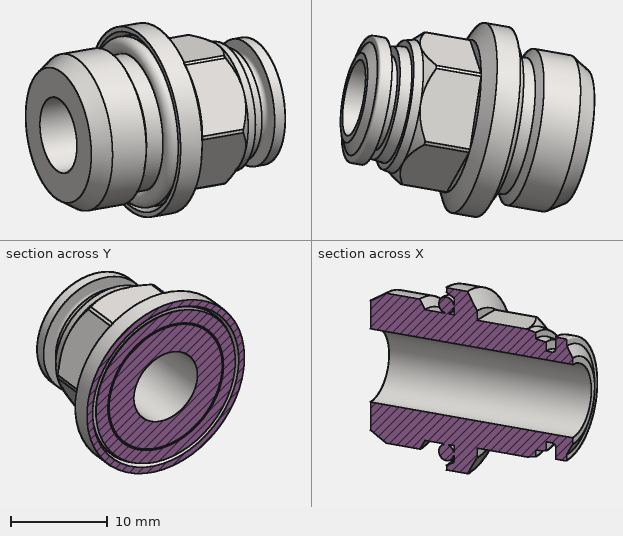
import cadquery as cq
import math

length = 23.9
bore_radius = 4.0
flange_radius = 10.01

nose_radius = 7.1
nose_chamfer_end = 1.9
thread_radius = 8.25
thread_end = 5.85
relief_radius = 7.2
relief_start = 6.48

flange_front = 8.96
flange_rim_end = 11.5
flange_back = 12.62
flange_back_radius = 8.05
seat_radius = 9.5
seat_floor_radius = 8.99
seat_depth = 0.88
seal_section_radius = 0.9
seal_center_radius = seat_floor_radius - seal_section_radius

across_flats = 14.05
hex_corner_radius = 8.0
hex_end = 18.57
hex_chamfer_length = 1.1

collar_radius = across_flats / 2
collar_end_radius = 6.8
collar_end = 19.55
sleeve_radius = 6.15
sleeve_end_radius = 5.98
sleeve_end = 20.77

neck_radius = 5.0
button_radius = 6.72
button_front = 21.87
button_back = 23.23
button_edge_rounding = 0.25
neck_flare = 0.45
dome_radius = 5.95
dome_end_radius = 4.73


def turn(profile):
    """Turn a closed (radius, Y) profile about the Y axis."""
    return profile.close().revolve(360, (0, 0, 0), (0, 1, 0))


def make_threaded_end():
    return turn(
        cq.Workplane("XY")
        .moveTo(0, 0)
        .lineTo(nose_radius, 0)
        .lineTo(thread_radius, nose_chamfer_end)
        .lineTo(thread_radius, thread_end)
        .lineTo(relief_radius, relief_start)
        .lineTo(relief_radius, flange_back)
        .lineTo(0, flange_back)
    )


def make_flange():
    seat_floor = flange_front + seat_depth
    return turn(
        cq.Workplane("XY")
        .moveTo(0, seat_floor)
        .lineTo(seat_floor_radius, seat_floor)
        .lineTo(seat_radius, flange_front)
        .lineTo(flange_radius, flange_front)
        .lineTo(flange_radius, flange_rim_end)
        .lineTo(flange_back_radius, flange_back)
        .lineTo(0, flange_back)
    )


def make_seal():
    """O-ring half sunk into the flange and bedded lightly into the relief and the seat floor."""
    return (
        cq.Workplane("XY")
        .center(seal_center_radius, flange_front)
        .circle(seal_section_radius)
        .revolve(360, (-seal_center_radius, 0, 0), (-seal_center_radius, 1, 0))
    )


def make_hexagon():
    corner_diameter = across_flats / math.cos(math.radians(30))
    prism = (
        cq.Workplane("XZ", origin=(0, flange_back, 0))
        .polygon(6, corner_diameter)
        .extrude(flange_back - hex_end)
    )
    envelope = turn(
        cq.Workplane("XY")
        .moveTo(0, flange_back)
        .lineTo(hex_corner_radius, flange_back)
        .lineTo(hex_corner_radius, hex_end - hex_chamfer_length)
        .lineTo(collar_radius, hex_end)
        .lineTo(0, hex_end)
    )
    return prism.intersect(envelope)


def make_collar():
    return turn(
        cq.Workplane("XY")
        .moveTo(0, hex_end)
        .lineTo(collar_radius, hex_end)
        .lineTo(collar_end_radius, collar_end)
        .lineTo(sleeve_radius, collar_end)
        .lineTo(sleeve_end_radius, sleeve_end)
        .lineTo(0, sleeve_end)
    )


def make_button():
    return turn(
        cq.Workplane("XY")
        .moveTo(0, sleeve_end)
        .lineTo(neck_radius, sleeve_end)
        .lineTo(neck_radius, button_front - neck_flare)
        .radiusArc((neck_radius + neck_flare, button_front), neck_flare)
        .lineTo(button_radius, button_front)
        .lineTo(button_radius, button_back - button_edge_rounding)
        .radiusArc((button_radius - button_edge_rounding, button_back), -button_edge_rounding)
        .lineTo(dome_radius, button_back)
        .lineTo(dome_end_radius, length)
        .lineTo(0, length)
    )


body = (
    make_threaded_end()
    .union(make_flange())
    .union(make_seal())
    .union(make_hexagon())
    .union(make_collar())
    .union(make_button())
)

bore = cq.Workplane("XZ").circle(bore_radius).extrude(-length)
result = body.cut(bore)